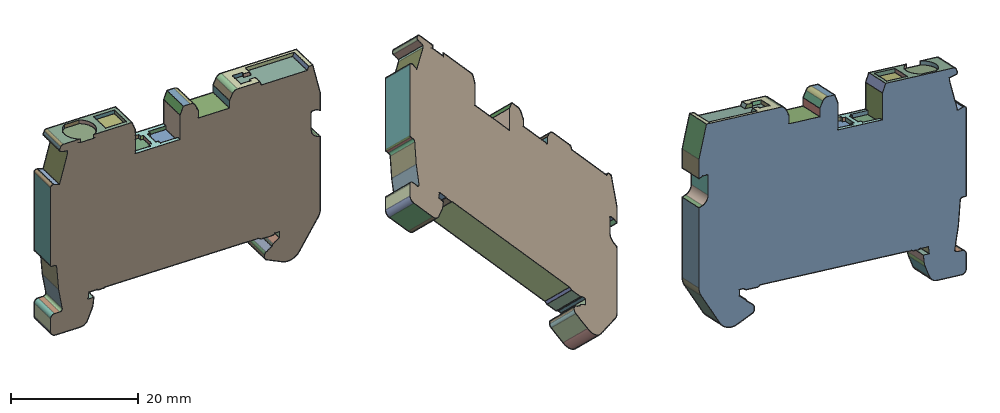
import cadquery as cq
import math


WIDTH = 5.15
LENGTH = 48.8
HEIGHT = 35.4
X_LEFT = -WIDTH / 2
X_RIGHT = WIDTH / 2
Y_BACK = LENGTH / 2
Y_FRONT = -LENGTH / 2

RAIL_Z = 6.05
FRONT_PAD_Y = -15.9
FRONT_PAD_HEIGHT = 0.12
BACK_PAD_HEIGHT = 0.3
CATCH_Z = 4.85
SADDLE_Z = 32.25
BRIDGE_Z = 29.35

SADDLE_BACK_Y = 7.95
SADDLE_FRONT_Y = 2.35
BRIDGE_BACK_Y = -1.0
BRIDGE_FRONT_Y = -9.1
SADDLE_LEAD_WIDTH = 0.85
SADDLE_LEAD_HEIGHT = 1.7
BRIDGE_LEAD_WIDTH = 0.6
BRIDGE_LEAD_HEIGHT = 1.5
LEAD_RADIUS = 1.02

BACK_SLOPE_WIDTH = 1.35
BACK_SLOPE_Z = 29.65
BACK_NOTCH_Y = 22.75
BACK_NOTCH_TOP_Z = 26.75
BACK_NOTCH_BOTTOM_Z = 21.45
BACK_NOTCH_RISE = 0.7
BACK_NOTCH_DROP = 0.35
BACK_NOTCH_RADIUS = 1.65
BACK_NOTCH_TOP_RADIUS = 0.2

HOOK_THROAT_Y = 17.0
HOOK_TIP_Y = 14.3
HOOK_TIP_RADIUS = 0.65
HOOK_STEP_RADIUS = 0.4
HOOK_HEEL_RADIUS = 2.5
HOOK_SHOULDER_Z = 7.12

LIP_TOP_Y = -22.45
LIP_Y = -22.9
LIP_RISE = 0.4
LIP_TOP_RADIUS = 0.5
LIP_TIP_RADIUS = 0.35
LIP_UNDERSIDE_Z = 33.85
THROAT_Y = -21.35
THROAT_HEIGHT = 0.45
BUMPER_TOP_Z = 28.4
BUMPER_BOTTOM_Z = 13.15
BUMPER_SLOPE_HEIGHT = 0.35
BUMPER_TOP_RADIUS = 0.45
BUMPER_BOTTOM_RADIUS = 0.2
WAIST_TOP_Y = -23.35
WAIST_BEND_Z = 8.35
WAIST_RADIUS = 0.45
FOOT_TOP_Z = 4.1
FOOT_TOP_RADIUS = 0.75
FOOT_BOTTOM_RADIUS = 0.95
FOOT_TOE_RADIUS = 1.45
FOOT_FLANK_RADIUS = 2.95

POCKET_DEPTH = 0.7
SOCKET_LEFT_X = X_LEFT + 0.75
SOCKET_SIZE = 3.75
SOCKET_CENTRE_X = SOCKET_LEFT_X + SOCKET_SIZE / 2


def rounded_outline(corners):
    """Closed YZ outline; each corner is (y, z) or (y, z, radius)."""
    runs = []
    for i, corner in enumerate(corners):
        here = cq.Vector(corner[0], corner[1])
        if len(corner) == 2:
            runs.append([here.toTuple()[:2]])
            continue
        before = corners[i - 1]
        after = corners[(i + 1) % len(corners)]
        to_before = (cq.Vector(before[0], before[1]) - here).normalized()
        to_after = (cq.Vector(after[0], after[1]) - here).normalized()
        half_angle = to_before.getAngle(to_after) / 2
        radius = corner[2]
        tangent = radius / math.tan(half_angle)
        apex = radius / math.sin(half_angle) - radius
        bisector = (to_before + to_after).normalized()
        arc = (here + to_before * tangent, here + bisector * apex, here + to_after * tangent)
        runs.append([point.toTuple()[:2] for point in arc])

    outline = cq.Workplane("YZ").workplane(offset=X_LEFT).moveTo(*runs[0][-1])
    for run in runs[1:] + runs[:1]:
        outline = outline.lineTo(*run[0])
        if len(run) == 3:
            outline = outline.threePointArc(run[1], run[2])
    return outline.close()


top_edge = [
    (Y_BACK - BACK_SLOPE_WIDTH, HEIGHT),
    (SADDLE_BACK_Y + SADDLE_LEAD_WIDTH, HEIGHT, LEAD_RADIUS),
    (SADDLE_BACK_Y, HEIGHT - SADDLE_LEAD_HEIGHT),
    (SADDLE_BACK_Y, SADDLE_Z),
    (SADDLE_FRONT_Y, SADDLE_Z),
    (SADDLE_FRONT_Y, HEIGHT - SADDLE_LEAD_HEIGHT),
    (SADDLE_FRONT_Y - SADDLE_LEAD_WIDTH, HEIGHT, LEAD_RADIUS),
    (BRIDGE_BACK_Y + BRIDGE_LEAD_WIDTH, HEIGHT),
    (BRIDGE_BACK_Y, HEIGHT - BRIDGE_LEAD_HEIGHT),
    (BRIDGE_BACK_Y, BRIDGE_Z),
    (BRIDGE_FRONT_Y, BRIDGE_Z),
    (BRIDGE_FRONT_Y, HEIGHT - BRIDGE_LEAD_HEIGHT),
    (BRIDGE_FRONT_Y - BRIDGE_LEAD_WIDTH, HEIGHT),
]

front_edge = [
    (LIP_TOP_Y, HEIGHT, LIP_TOP_RADIUS),
    (LIP_Y, LIP_UNDERSIDE_Z + LIP_RISE, LIP_TIP_RADIUS),
    (THROAT_Y, LIP_UNDERSIDE_Z),
    (THROAT_Y, LIP_UNDERSIDE_Z - THROAT_HEIGHT),
    (-22.8, BUMPER_TOP_Z - BUMPER_SLOPE_HEIGHT),
    (-23.8, BUMPER_TOP_Z),
    (Y_FRONT, BUMPER_TOP_Z, BUMPER_TOP_RADIUS),
    (Y_FRONT, BUMPER_BOTTOM_Z, BUMPER_BOTTOM_RADIUS),
    (WAIST_TOP_Y, BUMPER_BOTTOM_Z, WAIST_RADIUS),
    (-22.95, WAIST_BEND_Z),
    (-22.2, FOOT_TOP_Z, WAIST_RADIUS),
    (Y_FRONT, FOOT_TOP_Z, FOOT_TOP_RADIUS),
    (Y_FRONT, 0, FOOT_BOTTOM_RADIUS),
    (-18.05, 0, FOOT_TOE_RADIUS),
    (-16.75, 3.15, FOOT_FLANK_RADIUS),
    (-16.55, CATCH_Z),
    (-17.6, CATCH_Z),
]

underside = [
    (-17.45, RAIL_Z),
    (FRONT_PAD_Y, RAIL_Z),
    (FRONT_PAD_Y, RAIL_Z - FRONT_PAD_HEIGHT),
    (-14.65, RAIL_Z - FRONT_PAD_HEIGHT),
    (-14.5, RAIL_Z),
    (13.2, RAIL_Z),
    (13.65, RAIL_Z - BACK_PAD_HEIGHT),
    (15.8, RAIL_Z - BACK_PAD_HEIGHT),
    (16.3, RAIL_Z),
    (HOOK_THROAT_Y, RAIL_Z),
]

back_edge = [
    (HOOK_THROAT_Y, CATCH_Z + 0.1),
    (15.75, 4.1, HOOK_STEP_RADIUS),
    (15.6, 3.75),
    (HOOK_TIP_Y, 2.85, HOOK_TIP_RADIUS),
    (HOOK_TIP_Y, 1.7, HOOK_TIP_RADIUS),
    (19.4, -0.7, HOOK_HEEL_RADIUS),
    (Y_BACK, HOOK_SHOULDER_Z, HOOK_HEEL_RADIUS),
    (Y_BACK, BACK_NOTCH_BOTTOM_Z),
    (BACK_NOTCH_Y, BACK_NOTCH_BOTTOM_Z + BACK_NOTCH_RISE, BACK_NOTCH_RADIUS),
    (BACK_NOTCH_Y, BACK_NOTCH_TOP_Z, BACK_NOTCH_TOP_RADIUS),
    (23.65, BACK_NOTCH_TOP_Z),
    (Y_BACK, BACK_NOTCH_TOP_Z - BACK_NOTCH_DROP),
    (Y_BACK, BACK_SLOPE_Z),
]


def pocket(x_min, x_max, y_min, y_max, top_z):
    """Rectangular pocket cutter reaching POCKET_DEPTH below top_z."""
    return (
        cq.Workplane("XY")
        .workplane(offset=top_z - POCKET_DEPTH)
        .moveTo((x_min + x_max) / 2, (y_min + y_max) / 2)
        .rect(x_max - x_min, y_max - y_min)
        .extrude(POCKET_DEPTH)
    )


def marker_pocket():
    """Label recess open at the +X side, with sloped ends and a T-shaped keyway."""
    left_x = X_LEFT + 0.6
    back_y = 22.3
    front_y = 13.45
    end_slope = 0.3
    stem_width = 1.8
    stem_length = 1.05
    head_width = 2.7
    head_length = 1.8
    key_x = X_LEFT + 2.85
    stem_front_y = front_y - stem_length

    recess = (
        cq.Workplane("YZ")
        .workplane(offset=left_x)
        .polyline([
            (back_y, HEIGHT),
            (back_y - end_slope, HEIGHT - POCKET_DEPTH),
            (front_y + end_slope, HEIGHT - POCKET_DEPTH),
            (front_y, HEIGHT),
        ])
        .close()
        .extrude(X_RIGHT - left_x)
    )
    stem = pocket(key_x - stem_width / 2, key_x + stem_width / 2,
                  stem_front_y, front_y + end_slope, HEIGHT)
    head = pocket(key_x - head_width / 2, key_x + head_width / 2,
                  stem_front_y - head_length, stem_front_y, HEIGHT)
    return recess.union(stem).union(head)


def bridge_sockets():
    """Two facing sockets in the bridge slot floor, each with a narrow inner tab."""
    length = 3.15
    tab_width = 2.6
    tab_length = 0.5
    right_x = SOCKET_LEFT_X + SOCKET_SIZE
    tab_left_x = SOCKET_CENTRE_X - tab_width / 2
    tab_right_x = SOCKET_CENTRE_X + tab_width / 2
    back_inner_y = BRIDGE_BACK_Y - length
    front_inner_y = BRIDGE_FRONT_Y + length

    back = pocket(SOCKET_LEFT_X, right_x, back_inner_y, BRIDGE_BACK_Y, BRIDGE_Z)
    back_tab = pocket(tab_left_x, tab_right_x, back_inner_y - tab_length, back_inner_y, BRIDGE_Z)
    front = pocket(SOCKET_LEFT_X, right_x, BRIDGE_FRONT_Y, front_inner_y, BRIDGE_Z)
    front_tab = pocket(tab_left_x, tab_right_x, front_inner_y, front_inner_y + tab_length, BRIDGE_Z)
    return back.union(back_tab).union(front).union(front_tab)


def square_socket():
    """Square release socket in the top face."""
    back_y = -10.3
    return pocket(SOCKET_LEFT_X, SOCKET_LEFT_X + SOCKET_SIZE, back_y - SOCKET_SIZE, back_y, HEIGHT)


def wire_entry():
    """Round wire entry, cut flat near -X and breaking out of the +X side."""
    radius = 2.7
    centre_x = X_LEFT + 2.8
    centre_y = -17.8
    flat_x = X_LEFT + 0.45
    disc = (
        cq.Workplane("XY")
        .workplane(offset=HEIGHT - POCKET_DEPTH)
        .center(centre_x, centre_y)
        .circle(radius)
        .extrude(POCKET_DEPTH)
    )
    return disc.intersect(pocket(flat_x, X_RIGHT, centre_y - radius, centre_y + radius, HEIGHT))


body = rounded_outline(top_edge + front_edge + underside + back_edge).extrude(WIDTH)
result = body.cut(marker_pocket()).cut(bridge_sockets()).cut(square_socket()).cut(wire_entry())